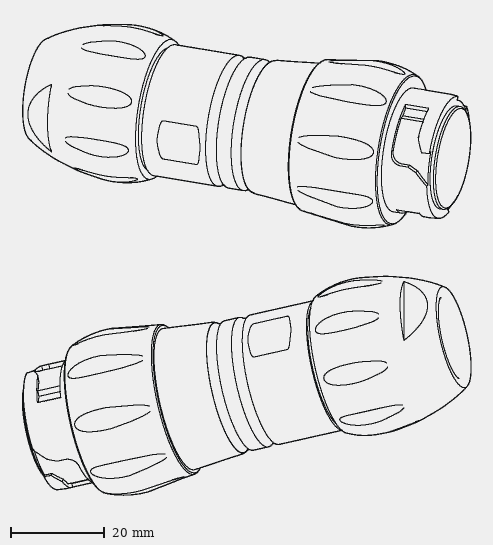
import cadquery as cq
import math

total_length = 94.1
nose_edge = 0.3
nose_end = 1.4
nut_flat_end = 7.0
nut_flank_end = 13.1
nut_crown_start = 16.3
nut_crown_mid = 21.8
nut_end = 27.3
body_start = 28.3
groove_1_start = 42.9
groove_1_end = 45.4
groove_2_start = 48.8
groove_2_end = 51.0
collar_lip_end = 51.6
collar_waist = 55.1
collar_cone_end = 58.7
coupling_start = 62.5
coupling_chamfer = 0.3
coupling_crown = 73.6
coupling_shoulder = 78.5
coupling_end = 82.7
spigot_taper_start = 91.1
spigot_end = 93.0
tip_chamfer = 0.4

nose_face_radius = 22.1 / 2
nose_edge_radius = 22.5 / 2
nose_radius = 23.9 / 2
nut_flank_mid_radius = 14.5
nut_flank_radius = 32.3 / 2
nut_crown_radius = 16.7
nut_crown_mid_radius = 16.8
nut_end_radius = 15.2
neck_radius = 26.8 / 2
body_radius = 28.4 / 2
groove_1_radius = 27.5 / 2
groove_2_radius = 27.7 / 2
collar_start_radius = 28.6 / 2
collar_lip_radius = 29.0 / 2
collar_waist_radius = 29.6 / 2
collar_cone_radius = 15.2
collar_end_radius = 31.0 / 2
coupling_start_radius = 32.85 / 2
coupling_crown_radius = 35.9 / 2
coupling_shoulder_radius = 35.1 / 2
coupling_end_radius = 32.6 / 2
spigot_radius = 26.8 / 2
spigot_end_radius = 26.45 / 2
tip_radius = 22.3 / 2

bore_radius = 17.5 / 2
bore_mouth_radius = 19.8 / 2
bore_rounding = bore_mouth_radius - bore_radius
bore_depth = 7.1

nut_flat_offset = 12.05
body_flat_offset = 13.5
body_flat_start = 33.0
body_flat_end = 40.5
body_flat_center = (body_flat_start + body_flat_end) / 2
body_flat_half_length = (body_flat_end - body_flat_start) / 2
body_flat_blend_length = 1.6
body_flat_blend_overrun = 0.1

scallop_count = 9
scallop_radius = 5.7 / 2
nut_scallop_floor = 31.5 / 2
nut_scallop_angle = 10.0
coupling_scallop_floor = 33.2 / 2
coupling_scallop_angle = 17.5

slot_count = 3
slot_start = 84.6
slot_track_end = 89.9
slot_floor_radius = 12.4
slot_stop_y = -3.7
slot_stop_z = 12.05
detent_z = 10.9
detent_seat_y = -5.3
detent_rib_y = -6.5
slot_turn_z = 10.1
slot_end_z = 3.0
slot_corner_radius = 2.4
slot_lead_in_start = 88.7
slot_lead_in_knee = 90.6
slot_lead_in_knee_z = 2.1
slot_mouth_low_z = -0.8
slot_mouth_high_z = 6.3
slot_upper_knee = 91.3
slot_upper_corner_z = 8.85

reach = 23.5


def turned_outline():
    """Solid of revolution about X."""
    profile = (
        cq.Workplane("XY")
        .moveTo(0, 0)
        .lineTo(0, nose_face_radius)
        .lineTo(nose_edge, nose_edge_radius)
        .lineTo(nose_end, nose_radius)
        .threePointArc((nut_flat_end, nut_flank_mid_radius), (nut_flank_end, nut_flank_radius))
        .lineTo(nut_crown_start, nut_crown_radius)
        .threePointArc((nut_crown_mid, nut_crown_mid_radius), (nut_end, nut_end_radius))
        .lineTo(nut_end, neck_radius)
        .lineTo(body_start, neck_radius)
        .lineTo(body_start, body_radius)
        .lineTo(groove_1_start, body_radius)
        .threePointArc(
            ((groove_1_start + groove_1_end) / 2, groove_1_radius), (groove_1_end, body_radius)
        )
        .lineTo(groove_2_start, body_radius)
        .threePointArc(
            ((groove_2_start + groove_2_end) / 2, groove_2_radius), (groove_2_end, body_radius)
        )
        .lineTo(groove_2_end, collar_start_radius)
        .lineTo(collar_lip_end, collar_lip_radius)
        .threePointArc(
            (collar_waist, collar_waist_radius), (collar_cone_end, collar_cone_radius)
        )
        .lineTo(coupling_start, collar_end_radius)
        .lineTo(coupling_start, coupling_start_radius - coupling_chamfer)
        .lineTo(coupling_start + coupling_chamfer, coupling_start_radius)
        .lineTo(coupling_crown, coupling_crown_radius)
        .threePointArc(
            (coupling_shoulder, coupling_shoulder_radius),
            (coupling_end - coupling_chamfer, coupling_end_radius),
        )
        .lineTo(coupling_end, coupling_end_radius - coupling_chamfer)
        .lineTo(coupling_end, spigot_radius)
        .lineTo(spigot_taper_start, spigot_radius)
        .lineTo(spigot_end, spigot_end_radius)
        .lineTo(spigot_end, tip_radius)
        .lineTo(total_length - tip_chamfer, tip_radius)
        .lineTo(total_length, tip_radius - tip_chamfer)
        .lineTo(total_length, 0)
        .close()
    )
    return profile.revolve(360, (0, 0, 0), (1, 0, 0))


def cable_bore():
    """Blind bore with a rounded mouth."""
    profile = (
        cq.Workplane("XY")
        .lineTo(0, bore_mouth_radius)
        .radiusArc((bore_rounding, bore_radius), -bore_rounding)
        .lineTo(bore_depth, bore_radius)
        .lineTo(bore_depth, 0)
        .close()
    )
    return profile.revolve(360, (0, 0, 0), (1, 0, 0))


def around_axis(shape, count, first_angle=0.0):
    """Copies of a shape spaced evenly about X."""
    copies = cq.Workplane("XY")
    for index in range(count):
        copies = copies.add(shape.rotate((0, 0, 0), (1, 0, 0), first_angle + index * 360 / count))
    return copies.combine()


def scallops(start, end, floor_radius, first_angle):
    """Grooves parallel to X that run out in the curved nut surface."""
    groove = (
        cq.Workplane("YZ", origin=(start, 0, 0))
        .center(-(floor_radius + scallop_radius), 0)
        .circle(scallop_radius)
        .extrude(end - start)
    )
    return around_axis(groove, scallop_count, first_angle)


def nut_flat(side):
    """Cutter for one wrench flat on the nose of the clamping nut."""
    y_center = side * (nut_flat_offset + reach / 2)
    return cq.Workplane("XY").box(2 * nut_flat_end, reach, 2 * reach).translate((0, y_center, 0))


def body_flat():
    """Flat on the +Y side whose ends rise to the body surface in S curves."""
    rise = body_radius + body_flat_blend_overrun - body_flat_offset
    blend_mid = (body_flat_half_length + body_flat_blend_length / 2, body_flat_offset + rise / 2)
    blend_end = (body_flat_half_length + body_flat_blend_length, body_flat_offset + rise)
    half = (
        cq.Workplane("XY")
        .moveTo(0, body_flat_offset)
        .lineTo(body_flat_half_length, body_flat_offset)
        .tangentArcPoint(blend_mid, relative=False)
        .tangentArcPoint(blend_end, relative=False)
        .lineTo(0, blend_end[1])
        .close()
        .extrude(reach / 2, both=True)
    )
    return half.union(half.mirror("YZ")).translate((body_flat_center, 0, 0))


def bayonet_track():
    """Circumferential end of the slot, with a detent seat and rib in its floor."""
    floor_y = -math.sqrt(slot_floor_radius**2 - slot_turn_z**2)
    return (
        cq.Workplane("YZ", origin=(slot_start, 0, 0))
        .moveTo(slot_stop_y, reach)
        .lineTo(slot_stop_y, slot_stop_z)
        .lineTo(detent_seat_y, detent_z)
        .lineTo(detent_rib_y, detent_z)
        .lineTo(floor_y, slot_turn_z)
        .lineTo(-reach, slot_turn_z)
        .lineTo(-reach, reach)
        .close()
        .extrude(slot_track_end - slot_start)
    )


def bayonet_entry():
    """Mouth of the slot, open at the spigot end, down to a round floor."""
    corner = slot_corner_radius
    outline = (
        cq.Workplane("XZ")
        .moveTo(slot_start, slot_turn_z)
        .lineTo(slot_start, slot_end_z + corner)
        .radiusArc((slot_start + corner, slot_end_z), -corner)
        .lineTo(slot_lead_in_start, slot_end_z)
        .lineTo(slot_lead_in_knee, slot_lead_in_knee_z)
        .lineTo(spigot_end, slot_mouth_low_z)
        .lineTo(spigot_end, slot_mouth_high_z)
        .lineTo(slot_upper_knee, slot_mouth_high_z)
        .lineTo(slot_track_end, slot_upper_corner_z)
        .lineTo(slot_track_end, slot_turn_z)
        .close()
        .extrude(reach)
    )
    core = cq.Workplane("YZ").circle(slot_floor_radius).extrude(total_length)
    return outline.cut(core)


result = turned_outline().cut(cable_bore())
result = result.cut(scallops(nose_end, nut_end, nut_scallop_floor, nut_scallop_angle))
result = result.cut(
    scallops(coupling_start, coupling_end, coupling_scallop_floor, coupling_scallop_angle)
)
for side in (-1, 1):
    result = result.cut(nut_flat(side))
result = result.cut(body_flat()).cut(body_flat().mirror("XZ"))
bayonet_slot = bayonet_track().union(bayonet_entry())
result = result.cut(around_axis(bayonet_slot, slot_count))